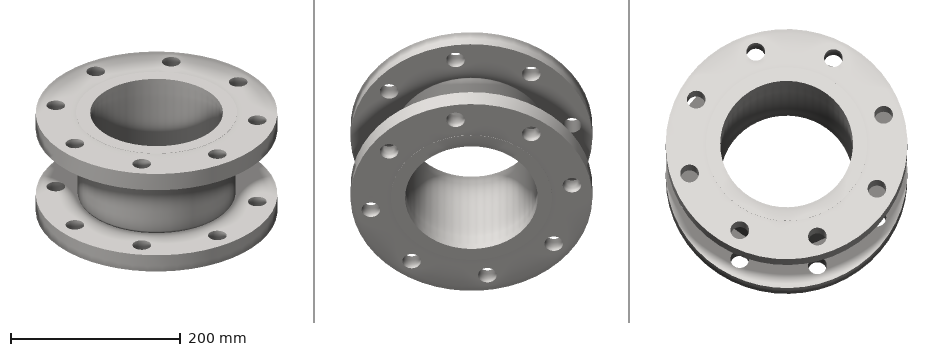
import cadquery as cq

flange_diameter = 285.0
height = 134.0

flange_thickness = 22.2
raised_face_height = 0.3
raised_face_diameter = 190.0

body_diameter = 186.5
body_edge_radius = 3.5
bore_diameter = 156.5

bolt_count = 8
bolt_hole_diameter = 22.0
bolt_circle_diameter = 240.0

body_height = height - 2 * (flange_thickness + raised_face_height)
bolt_pitch_angle = 360 / bolt_count


def disc(diameter, thickness, bottom_z):
    """Solid round plate centred on the Z axis."""
    return cq.Workplane("XY").workplane(offset=bottom_z).circle(diameter / 2).extrude(thickness)


def upper_flange():
    """Plate above the body with a ring of bolt holes and a raised face on top."""
    bottom_z = body_height / 2
    plate = disc(flange_diameter, flange_thickness, bottom_z)
    holes = (
        cq.Workplane("XY")
        .workplane(offset=bottom_z)
        .polarArray(bolt_circle_diameter / 2, bolt_pitch_angle / 2, 360, bolt_count)
        .circle(bolt_hole_diameter / 2)
        .extrude(flange_thickness)
    )
    raised_face = disc(raised_face_diameter, raised_face_height, bottom_z + flange_thickness)
    return plate.cut(holes).union(raised_face)


def body():
    """Cylinder between the flanges, rounded where it meets them."""
    return disc(body_diameter, body_height, -body_height / 2).edges().fillet(body_edge_radius)


flange = upper_flange()
bore = disc(bore_diameter, height, -height / 2)

result = body().union(flange).union(flange.mirror("XY")).cut(bore)